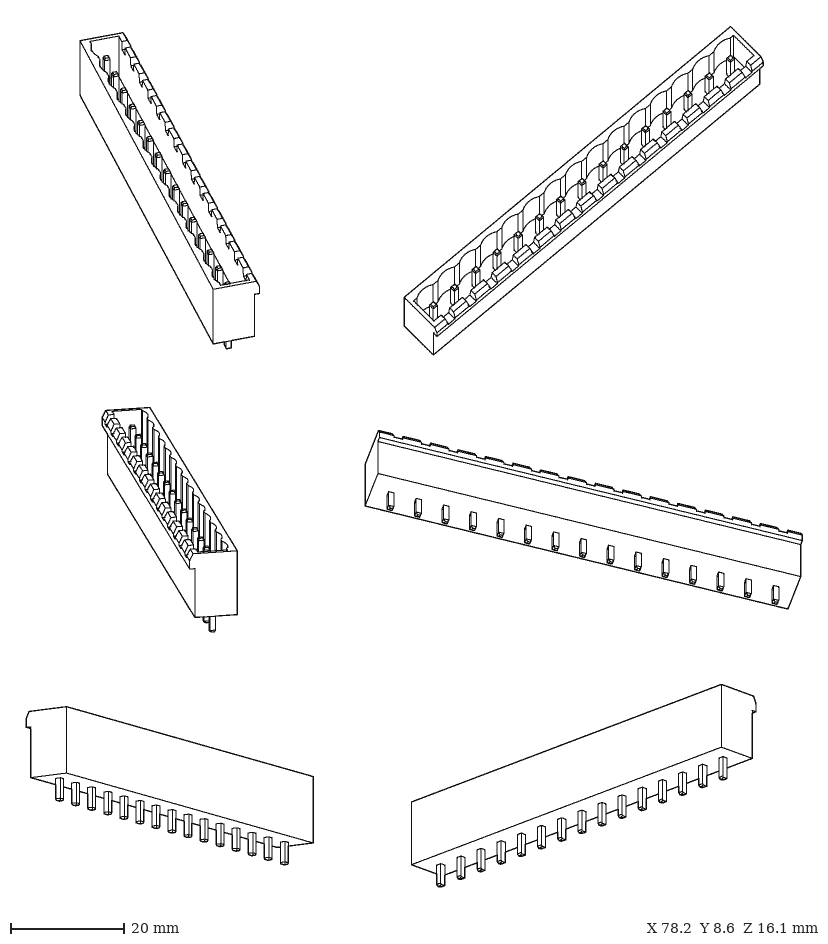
import cadquery as cq

pin_count = 15
pitch = 5.1
pin_width = 1.0
pin_tip_width = 0.7
pin_tip_length = 0.4
pin_tail_length = 4.1
pin_recess = 1.95
pin_setback = 3.8

length = 78.2
depth = 7.7
height = 12.0

end_wall = 0.8
front_wall = 1.65
back_wall = 0.7
floor_thickness = 3.1
scallop_width = 3.9
scallop_depth = 0.55

ledge_reach = 0.9
ledge_height = 2.8
ledge_bevel_reach = 0.6
ledge_bevel_height = 1.25

notch_depth = 1.65
notch_top_width = 2.0
notch_bottom_width = 1.6

pin_positions = [(i - (pin_count - 1) / 2) * pitch for i in range(pin_count)]
pocket_back = depth - back_wall
back_edge = depth + ledge_reach


def make_housing():
    """Extrude the side profile, including the bevelled ledge, along X."""
    profile = [
        (0, 0),
        (depth, 0),
        (depth, height - ledge_height),
        (back_edge, height - ledge_height),
        (back_edge, height - ledge_bevel_height),
        (back_edge - ledge_bevel_reach, height),
        (0, height),
    ]
    return cq.Workplane("YZ").polyline(profile).close().extrude(length / 2, both=True)


def make_pocket():
    """Pocket volume whose front side bulges in a shallow arc ahead of each pin."""
    half_length = length / 2 - end_wall
    outline = cq.Workplane("XY", origin=(0, 0, floor_thickness)).moveTo(-half_length, front_wall)
    for x in pin_positions:
        outline = outline.lineTo(x - scallop_width / 2, front_wall)
        outline = outline.threePointArc(
            (x, front_wall - scallop_depth),
            (x + scallop_width / 2, front_wall),
        )
    outline = outline.lineTo(half_length, front_wall)
    outline = outline.lineTo(half_length, pocket_back).lineTo(-half_length, pocket_back).close()
    return outline.extrude(height - floor_thickness)


def make_notch(x):
    """Tapered notch that crosses the rear wall and ledge."""
    section = [
        (x - notch_top_width / 2, height),
        (x - notch_bottom_width / 2, height - notch_depth),
        (x + notch_bottom_width / 2, height - notch_depth),
        (x + notch_top_width / 2, height),
    ]
    start = cq.Workplane("XZ", origin=(0, back_edge, 0))
    return start.polyline(section).close().extrude(back_edge - pocket_back)


def make_pin(x):
    """Square pin through the floor, tapered at both tips."""
    pin_length = pin_tail_length + height - pin_recess
    shank = cq.Workplane("XY").box(pin_width, pin_width, pin_length, centered=(True, True, False))
    tip_inset = (pin_width - pin_tip_width) / 2
    pin = shank.faces(">Z").chamfer(pin_tip_length, tip_inset)
    pin = pin.faces("<Z").chamfer(pin_tip_length, tip_inset)
    return pin.translate((x, pin_setback, -pin_tail_length))


result = make_housing().cut(make_pocket())
for x in pin_positions:
    result = result.cut(make_notch(x))
for x in pin_positions:
    result = result.union(make_pin(x))